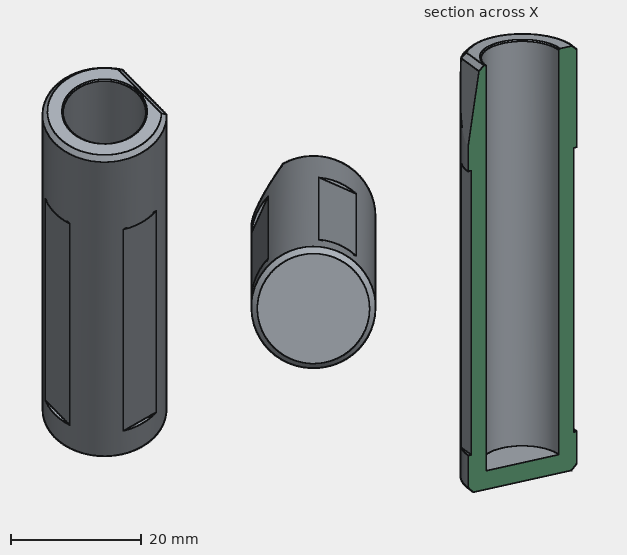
import cadquery as cq
import math

length = 71.1
diameter = 19.05
radius = diameter / 2
top_chamfer = 0.8
bottom_chamfer = 0.9

bore_diameter = 12.65
bore_chamfer = 0.2
floor_thickness = radius - bore_diameter / 2

flat_width = 6.25
flat_bottom = 6.4
flat_top = 53.9
flat_count = 4
flat_distance = math.sqrt(radius**2 - (flat_width / 2) ** 2)

slope_bottom = 58.3
slope_depth = 2.0


def make_beveled_tube():
    body = cq.Workplane("XY").circle(radius).extrude(length)
    body = body.cut(make_slope_cutter())
    body = body.faces(">Z").chamfer(top_chamfer)
    body = body.faces("<Z").chamfer(bottom_chamfer)
    bore = (
        cq.Workplane("XY", origin=(0, 0, floor_thickness))
        .circle(bore_diameter / 2)
        .extrude(length - floor_thickness)
    )
    body = body.cut(bore)
    mouth = cq.selectors.RadiusNthSelector(0)
    return body.faces(">Z").edges("%CIRCLE").edges(mouth).chamfer(bore_chamfer)


def make_flat_cutter(angle):
    height = flat_top - flat_bottom
    return (
        cq.Workplane("XY", origin=(0, 0, flat_bottom))
        .center(flat_distance + radius / 2, 0)
        .rect(radius, diameter)
        .extrude(height)
        .rotate((0, 0, 0), (0, 0, 1), angle)
    )


def make_slope_cutter():
    return (
        cq.Workplane("YZ")
        .moveTo(radius, slope_bottom)
        .lineTo(radius - slope_depth, length)
        .lineTo(radius, length)
        .close()
        .extrude(radius, both=True)
    )


result = make_beveled_tube()
for index in range(flat_count):
    result = result.cut(make_flat_cutter(index * 360 / flat_count))